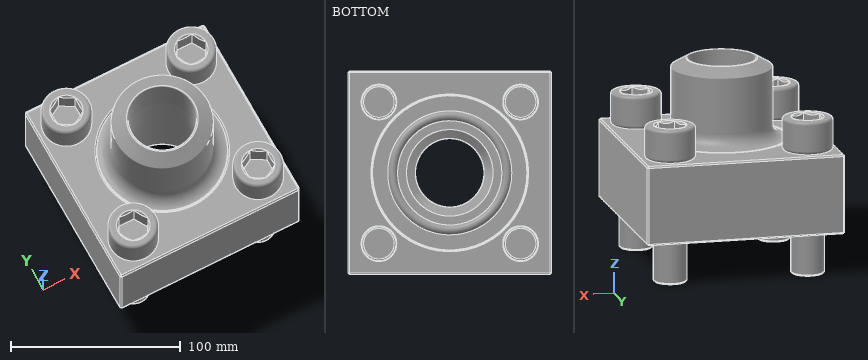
import cadquery as cq
import math

BLOCK_TOP_Z = 75.0
BLOCK_BOTTOM_Z = 26.8
COLLAR_BOTTOM_Z = 25.0
NECK_TOP_Z = 123.0

BLOCK_SIDE = 120.0
EDGE_CHAMFER = 1.0
NECK_HOLE_DIA = 77.5
COLLAR_RECESS_DIA = 93.0
COLLAR_RECESS_DEPTH = 15.0
SCREW_HOLE_DIA = 21.0

NECK_DIA = 60.3
NECK_BASE_DIA = 77.0
NECK_FILLET = (NECK_BASE_DIA - NECK_DIA) / 2
COLLAR_DIA = 92.0
COLLAR_CHAMFER = 0.5
BORE_DIA = 40.3
PORT_DIA = 51.0
BORE_LENGTH = 23.9
TIP_DIA = 42.3
TIP_BEVEL_ANGLE = 30.0
SHOULDER_FILLET = 0.5
BORE_RIM_FILLET = 0.2

GROOVE_INNER_DIA = 61.5
GROOVE_OUTER_DIA = 73.2
RING_SECTION_DIA = (GROOVE_OUTER_DIA - GROOVE_INNER_DIA) / 2
RING_STAND_OUT = 1.4
RING_TOP_Z = COLLAR_BOTTOM_Z - RING_STAND_OUT + RING_SECTION_DIA

SCREW_SPACING = 83.5
SHANK_DIA = 20.0
SHANK_CHAMFER = 1.0
HEAD_DIA = 30.0
HEAD_HEIGHT = 20.0
HEAD_FILLET = 2.0
SOCKET_CORNER_DIA = 19.7
SOCKET_DEPTH = 13.5


def cylinder(diameter, bottom_z, top_z):
    return cq.Workplane("XY").workplane(offset=bottom_z).circle(diameter / 2).extrude(top_z - bottom_z)


def make_block():
    height = BLOCK_TOP_Z - BLOCK_BOTTOM_Z
    block = cq.Workplane("XY").workplane(offset=BLOCK_BOTTOM_Z).rect(BLOCK_SIDE, BLOCK_SIDE).extrude(height)
    block = block.edges().chamfer(EDGE_CHAMFER)

    block = block.cut(cylinder(NECK_HOLE_DIA, BLOCK_BOTTOM_Z, BLOCK_TOP_Z))
    block = block.faces(">Z").edges("%CIRCLE").chamfer(EDGE_CHAMFER)
    block = block.cut(cylinder(COLLAR_RECESS_DIA, BLOCK_BOTTOM_Z, BLOCK_BOTTOM_Z + COLLAR_RECESS_DEPTH))

    screw_holes = (
        cq.Workplane("XY")
        .workplane(offset=BLOCK_BOTTOM_Z)
        .rect(SCREW_SPACING, SCREW_SPACING, forConstruction=True)
        .vertices()
        .circle(SCREW_HOLE_DIA / 2)
        .extrude(height)
    )
    return block.cut(screw_holes)


def make_neck():
    bevel_height = (NECK_DIA - TIP_DIA) / 2 * math.tan(math.radians(TIP_BEVEL_ANGLE))
    collar_top_z = BLOCK_BOTTOM_Z + COLLAR_RECESS_DEPTH
    fillet_top_z = BLOCK_TOP_Z + NECK_FILLET
    arc_offset = NECK_FILLET * (1 - math.sqrt(0.5))
    bore_end_z = NECK_TOP_Z - BORE_LENGTH

    neck = (
        cq.Workplane("XZ")
        .moveTo(PORT_DIA / 2, COLLAR_BOTTOM_Z)
        .lineTo(GROOVE_INNER_DIA / 2, COLLAR_BOTTOM_Z)
        .lineTo(GROOVE_INNER_DIA / 2, RING_TOP_Z)
        .lineTo(GROOVE_OUTER_DIA / 2, RING_TOP_Z)
        .lineTo(GROOVE_OUTER_DIA / 2, COLLAR_BOTTOM_Z)
        .lineTo(COLLAR_DIA / 2 - COLLAR_CHAMFER, COLLAR_BOTTOM_Z)
        .lineTo(COLLAR_DIA / 2, COLLAR_BOTTOM_Z + COLLAR_CHAMFER)
        .lineTo(COLLAR_DIA / 2, collar_top_z)
        .lineTo(NECK_BASE_DIA / 2, collar_top_z)
        .lineTo(NECK_BASE_DIA / 2, BLOCK_TOP_Z)
        .threePointArc(
            (NECK_DIA / 2 + arc_offset, BLOCK_TOP_Z + arc_offset),
            (NECK_DIA / 2, fillet_top_z),
        )
        .lineTo(NECK_DIA / 2, NECK_TOP_Z - bevel_height)
        .lineTo(TIP_DIA / 2, NECK_TOP_Z)
        .lineTo(BORE_DIA / 2, NECK_TOP_Z)
        .lineTo(BORE_DIA / 2, bore_end_z)
        .close()
        .revolve(360, (0, 0, 0), (0, 1, 0))
    )

    by_radius = cq.selectors.RadiusNthSelector
    neck = neck.faces("%CONE").faces(">Z").edges(by_radius(1)).fillet(SHOULDER_FILLET)
    return neck.faces(">Z").edges(by_radius(0)).fillet(BORE_RIM_FILLET)


def make_ring():
    centre_radius = (GROOVE_INNER_DIA + GROOVE_OUTER_DIA) / 4
    centre_z = RING_TOP_Z - RING_SECTION_DIA / 2
    return (
        cq.Workplane("XZ")
        .center(centre_radius, centre_z)
        .circle(RING_SECTION_DIA / 2)
        .revolve(360, (-centre_radius, 0, 0), (-centre_radius, 1, 0))
    )


def make_screw():
    head_top_z = BLOCK_TOP_Z + HEAD_HEIGHT
    head = cylinder(HEAD_DIA, BLOCK_TOP_Z, head_top_z).edges().fillet(HEAD_FILLET)
    shank = cylinder(SHANK_DIA, 0, BLOCK_TOP_Z + HEAD_HEIGHT / 2).faces("<Z").chamfer(SHANK_CHAMFER)
    socket = (
        cq.Workplane("XY")
        .workplane(offset=head_top_z - SOCKET_DEPTH)
        .polygon(6, SOCKET_CORNER_DIA)
        .extrude(SOCKET_DEPTH)
    )
    mouth_radius = SOCKET_CORNER_DIA / 2
    mouth_tip = cq.Vector(0, 0, head_top_z - mouth_radius)
    mouth = cq.Workplane(cq.Solid.makeCone(0, mouth_radius, mouth_radius, mouth_tip))
    return head.union(shank).cut(socket).cut(mouth)


def make_screws():
    offset = SCREW_SPACING / 2
    screw = make_screw().translate((offset, offset, 0))
    return [screw.rotate((0, 0, 0), (0, 0, 1), 90 * quarter).val() for quarter in range(4)]


block = make_block()
neck = make_neck()
ring = make_ring()
screws = make_screws()

result = cq.Compound.makeCompound([block.val(), neck.val(), ring.val(), *screws])